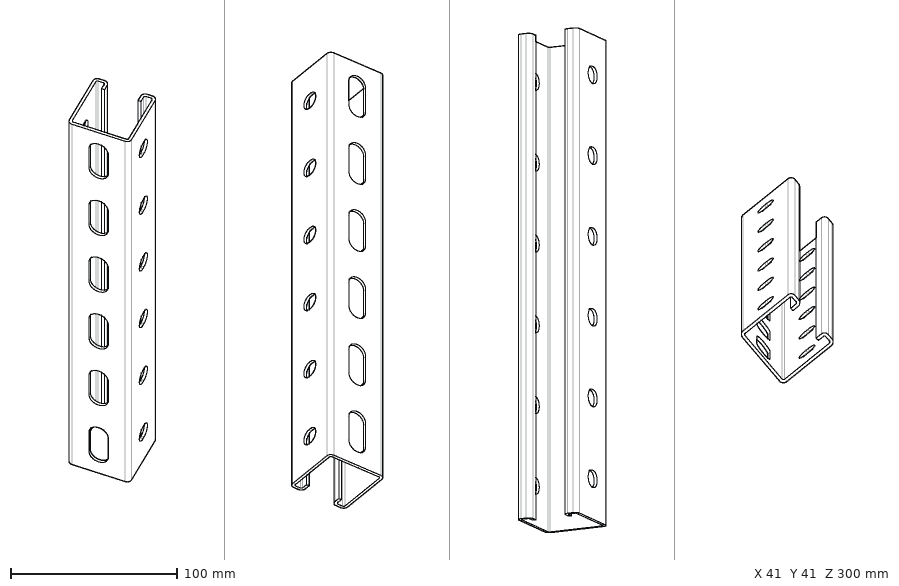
import cadquery as cq

width = 41.0
depth = 41.0
length = 300.0
thickness = 2.0
inner_bend_radius = 1.0
outer_bend_radius = inner_bend_radius + thickness

mouth_width = 22.0
lip_depth = 7.0

pitch = 50.0
slot_width = 12.5
side_hole_length = 12.0
side_hole_height = 10.4
slot_length = 30.0
pitch_count = round(length / pitch)


def mirrored_left(right_points):
    """Mirror points to the -X side, reversed so the outline continues in order."""
    return [(-x, y) for x, y in reversed(right_points)]


def round_bends(body, corners, radius):
    """Round the lengthwise edges that pass through the given XY corners."""
    for x, y in corners:
        edge = cq.selectors.NearestToPointSelector((x, y, 0))
        body = body.edges("|Z").edges(edge).fillet(radius)
    return body


def make_channel():
    """Bent sheet profile with in-turned lips, extruded over the full length."""
    outer_x = width / 2
    outer_y = depth / 2
    inner_x = outer_x - thickness
    inner_y = outer_y - thickness
    lip_mouth_x = mouth_width / 2
    lip_inner_x = lip_mouth_x + thickness
    lip_end_y = outer_y - lip_depth

    outer_right = [(outer_x, -outer_y), (outer_x, outer_y), (lip_mouth_x, outer_y)]
    inner_right = [(lip_inner_x, inner_y), (inner_x, inner_y), (inner_x, -inner_y)]
    lip_end = [(lip_mouth_x, lip_end_y), (lip_inner_x, lip_end_y)]

    right_half = outer_right + lip_end + inner_right
    outline = right_half + mirrored_left(right_half)
    channel = cq.Workplane("XY").polyline(outline).close().extrude(length / 2, both=True)

    outer_corners = outer_right + mirrored_left(outer_right)
    inner_corners = inner_right + mirrored_left(inner_right)
    channel = round_bends(channel, outer_corners, outer_bend_radius)
    return round_bends(channel, inner_corners, inner_bend_radius)


def perforation_points():
    """Perforation centres along the channel, half a pitch in from each end."""
    return [(0, (index - (pitch_count - 1) / 2) * pitch) for index in range(pitch_count)]


def make_back_slots():
    """Lengthwise slot cutters through the back wall at -Y."""
    return (
        cq.Workplane("XZ")
        .pushPoints(perforation_points())
        .slot2D(slot_length, slot_width, 90)
        .extrude(depth / 2)
    )


def make_side_holes():
    """Slightly oblong cutters, longer along Y, through both side walls along X."""
    return (
        cq.Workplane("YZ")
        .pushPoints(perforation_points())
        .slot2D(side_hole_length, side_hole_height)
        .extrude(width / 2, both=True)
    )


result = make_channel().cut(make_back_slots()).cut(make_side_holes())